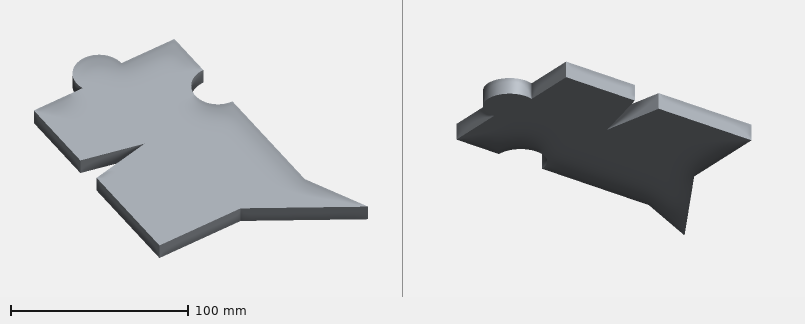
import cadquery as cq
import math

length = 188.0
depth = 115.8
thickness = 10.0

round_radius = 15.0
body_left = round_radius
front_left = 20.0
body_right = 149.9
body_back = 98.0

knob_y = 47.2
notch_x = 60.0
slit_left = 68.0
slit_right = 84.8
slit_tip_x = 76.5
slit_depth = 37.8
spike_root_y = 54.7

knob_offset = front_left - body_left
knob_end_y = knob_y - math.sqrt(round_radius**2 - knob_offset**2)

outline = (
    cq.Workplane("XY")
    .moveTo(front_left, 0)
    .lineTo(slit_left, 0)
    .lineTo(slit_tip_x, slit_depth)
    .lineTo(slit_right, 0)
    .lineTo(body_right, 0)
    .lineTo(body_right, spike_root_y)
    .lineTo(length, depth)
    .lineTo(body_right, body_back)
    .lineTo(notch_x + round_radius, body_back)
    .threePointArc(
        (notch_x, body_back - round_radius),
        (notch_x - round_radius, body_back),
    )
    .lineTo(body_left, body_back)
    .lineTo(body_left, knob_y + round_radius)
    .threePointArc((body_left - round_radius, knob_y), (front_left, knob_end_y))
    .close()
)

result = outline.extrude(thickness)